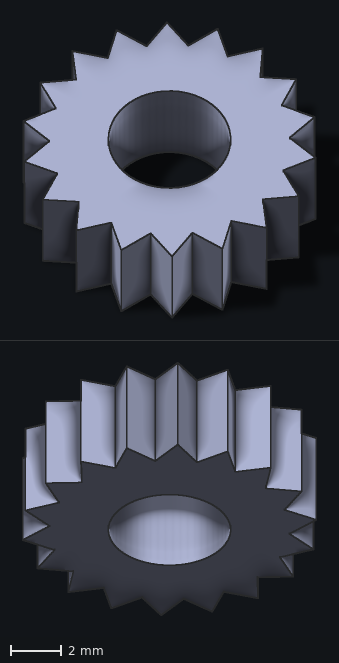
import cadquery as cq
import math

tooth_count = 18
tip_diameter = 11.8
root_diameter = 9.58
bore_diameter = 4.88
thickness = 4.0

tooth_pitch = 2 * math.pi / tooth_count
first_tip_angle = math.pi / 2


def polar_point(radius, angle):
    return (radius * math.cos(angle), radius * math.sin(angle))


def toothed_outline():
    """Alternating sharp tips and roots, with each root midway between two tips."""
    points = []
    for tooth in range(tooth_count):
        tip_angle = first_tip_angle + tooth * tooth_pitch
        points.append(polar_point(tip_diameter / 2, tip_angle))
        points.append(polar_point(root_diameter / 2, tip_angle + tooth_pitch / 2))
    return points


def toothed_body():
    return cq.Workplane("XY").polyline(toothed_outline()).close().extrude(thickness)


def bore():
    return cq.Workplane("XY").circle(bore_diameter / 2).extrude(thickness)


result = toothed_body().cut(bore())